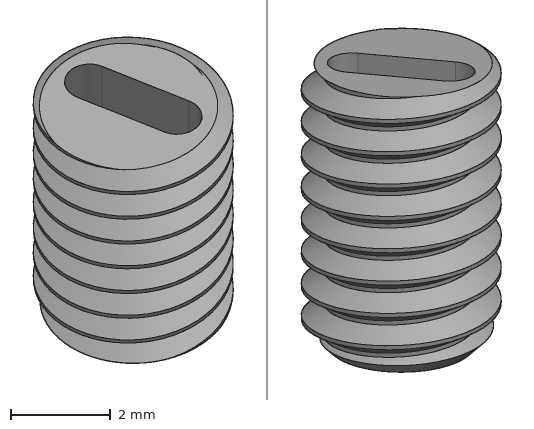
import cadquery as cq
import math

length = 6.0
major_diameter = 4.0
root_diameter = 3.095
pitch = 0.7
tip_chamfer = 0.515

flank_slope = math.tan(math.radians(30))
crest_flat = pitch / 8
thread_start_angle = 90.0
thread_start_height = 0.03

slot_length = 3.0
slot_width = 1.0
slot_depth = 1.5

major_radius = major_diameter / 2
root_radius = root_diameter / 2


def turn_seam(body):
    """Turn a round body so that its seam lies on -X, where it joins cleanly with the thread."""
    return body.rotate((0, 0, 0), (0, 0, 1), 180)


def screw_core():
    """Cylinder of the root diameter that runs past both ends of the screw."""
    core = cq.Workplane("XY").workplane(offset=-pitch).circle(root_radius).extrude(length + 2 * pitch)
    return turn_seam(core)


def screw_envelope():
    """Clear of the crests along the length, with square upper end and a 45 degree tip."""
    clearance = 0.18
    outer_radius = major_radius + clearance
    envelope = cq.Workplane("XY").circle(outer_radius).extrude(length)
    return turn_seam(envelope.faces("<Z").chamfer(tip_chamfer + clearance))


def thread_ridge():
    """Right-handed helical ridge that runs past both ends, sunk slightly into the core."""
    sink = 0.03
    start = thread_start_height - 2 * pitch
    turns = math.ceil(length / pitch) + 4
    inner_radius = root_radius - sink
    crest_half_width = crest_flat / 2
    inner_half_width = crest_half_width + (major_radius - inner_radius) * flank_slope

    helix = cq.Wire.makeHelix(pitch, turns * pitch, inner_radius, center=cq.Vector(0, 0, start))
    profile = cq.Workplane("XZ").polyline([
        (inner_radius, start - inner_half_width),
        (major_radius, start - crest_half_width),
        (major_radius, start + crest_half_width),
        (inner_radius, start + inner_half_width),
    ]).close()
    ridge = profile.sweep(cq.Workplane(obj=helix), isFrenet=True)
    return ridge.rotate((0, 0, 0), (0, 0, 1), thread_start_angle)


def driver_slot():
    """Round-ended blind slot along X in the top face."""
    return cq.Workplane("XY").workplane(offset=length).slot2D(slot_length, slot_width).extrude(-slot_depth)


result = screw_core().union(thread_ridge()).intersect(screw_envelope()).cut(driver_slot())